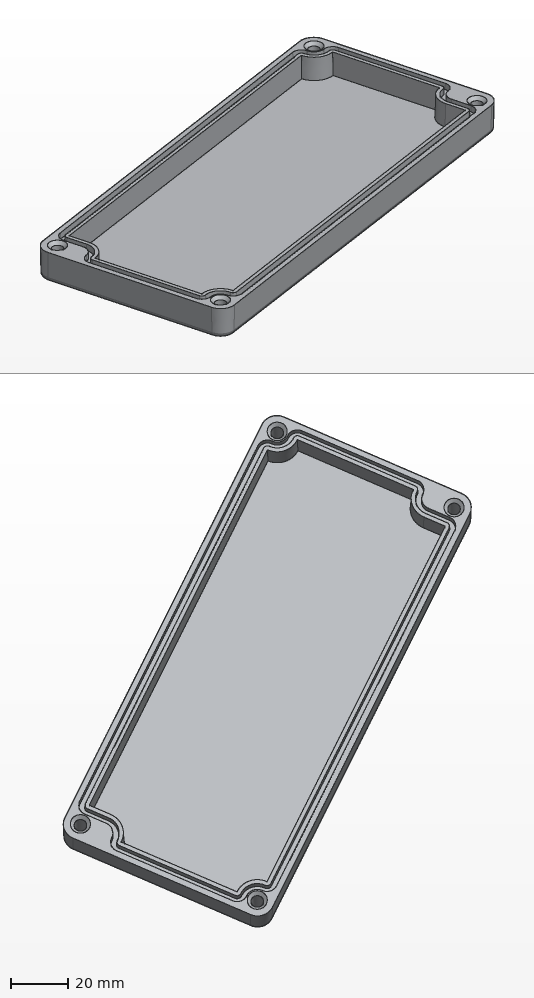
import cadquery as cq
import math

LENGTH = 175.0
WIDTH = 80.0
HEIGHT = 12.0
CORNER_RADIUS = 5.8
BOTTOM_FILLET = 1.8

WALL = 5.8
RIM = 2.1
LIP = 1.49
GROOVE_DEPTH = 2.5
CAVITY_DEPTH = 9.3

OUTER_DRAFT = 1.0
GROOVE_DRAFT = 3.0
CAVITY_DRAFT = 2.0

HOLE_INSET = 6.0
HOLE_TOP_DIAMETER = 4.4
HOLE_BOTTOM_DIAMETER = 3.5
COUNTERSINK_DIAMETER = 7.0
COUNTERSINK_DEPTH = (COUNTERSINK_DIAMETER - HOLE_TOP_DIAMETER) / 2
HOLE_X = WIDTH / 2 - HOLE_INSET
HOLE_Y = LENGTH / 2 - HOLE_INSET

BOSS_EXTRA = 2.0
BOSS_STRETCH = 8.0


def quarter_arc(center, radius, sign_x, sign_y):
    """Start, middle and end of the arc from the X axis to the Y axis of one quadrant."""
    x, y = center
    reach = radius * math.sqrt(0.5)
    return [
        (x + sign_x * radius, y),
        (x + sign_x * reach, y + sign_y * reach),
        (x, y + sign_y * radius),
    ]


def corner_arcs(inset, side, stretch):
    """Arcs of an inner outline at one +Y corner, from the long wall to the end wall.

    The outline turns inwards, bends round the screw boss and turns again to run along
    the end wall. Both turns shrink to sharp corners when the inset reaches the wall.
    """
    turn = WALL - inset
    boss = BOSS_EXTRA + inset
    boss_x = side * (HOLE_X - stretch)
    side_center = (side * (WIDTH / 2 - WALL), HOLE_Y - boss - turn)
    end_center = (boss_x - side * (boss + turn), LENGTH / 2 - WALL)
    boss_bend = quarter_arc((boss_x, HOLE_Y), boss, -side, -1)[::-1]
    if turn == 0:
        return [[side_center], boss_bend, [end_center]]
    return [
        quarter_arc(side_center, turn, side, 1),
        boss_bend,
        quarter_arc(end_center, turn, side, 1),
    ]


def wall_outline(inset):
    """Closed outline on the top face, running inside the outer sides at the given inset."""
    right_corner = corner_arcs(inset, 1, BOSS_STRETCH)
    left_corner = corner_arcs(inset, -1, 0)
    half = right_corner + [arc[::-1] for arc in left_corner[::-1]]
    other_half = [[(-x, -y) for x, y in arc] for arc in half]

    first, *others = half + other_half
    outline = cq.Workplane("XY", origin=(0, 0, HEIGHT)).moveTo(*first[0])
    if len(first) > 1:
        outline = outline.threePointArc(*first[1:])
    for arc in others:
        outline = outline.lineTo(*arc[0])
        if len(arc) > 1:
            outline = outline.threePointArc(*arc[1:])
    return outline.close()


body = (
    cq.Workplane("XY", origin=(0, 0, HEIGHT))
    .sketch()
    .rect(WIDTH, LENGTH)
    .vertices()
    .fillet(CORNER_RADIUS)
    .finalize()
    .extrude(-HEIGHT, taper=OUTER_DRAFT)
    .faces("<Z")
    .edges()
    .fillet(BOTTOM_FILLET)
)

lip_core = wall_outline(WALL - LIP).extrude(-GROOVE_DEPTH, taper=-GROOVE_DRAFT)
groove = wall_outline(RIM).extrude(-GROOVE_DEPTH, taper=GROOVE_DRAFT).cut(lip_core)

cavity = wall_outline(WALL).extrude(-CAVITY_DEPTH, taper=CAVITY_DRAFT)

screw_hole = (
    cq.Workplane("XZ")
    .lineTo(HOLE_BOTTOM_DIAMETER / 2, 0)
    .lineTo(HOLE_TOP_DIAMETER / 2, HEIGHT - COUNTERSINK_DEPTH)
    .lineTo(COUNTERSINK_DIAMETER / 2, HEIGHT)
    .lineTo(0, HEIGHT)
    .close()
    .revolve(360, (0, 0, 0), (0, 1, 0))
)

result = body.cut(groove).cut(cavity)
for hole_x in (-HOLE_X, HOLE_X):
    for hole_y in (-HOLE_Y, HOLE_Y):
        result = result.cut(screw_hole.translate((hole_x, hole_y, 0)))